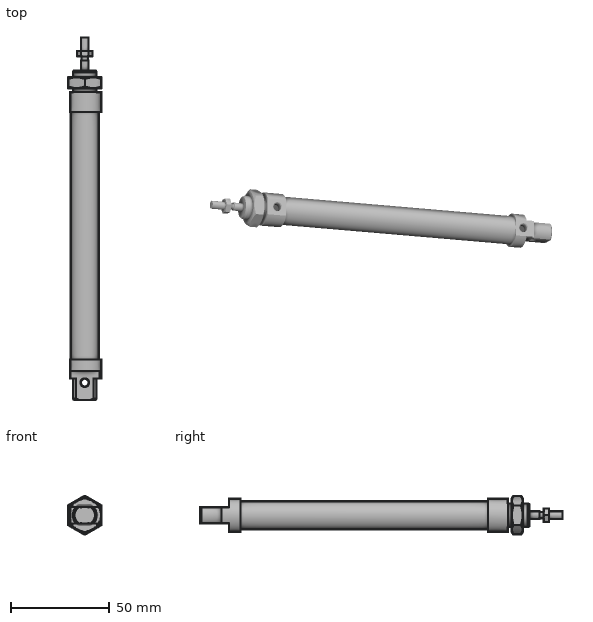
import cadquery as cq
import math

LENGTH = 185.0
REAR_Y = -LENGTH / 2
TIP_Y = LENGTH / 2

CAP_DIA = 17.0
TUBE_DIA = 14.5
NOSE_DIA = 12.0
NOSE_LENGTH = 11.1
NOSE_CHAMFER_LENGTH = 1.1
NOSE_CHAMFER_DEPTH = 0.5
FRONT_CAP_LENGTH = 10.2
REAR_CAP_LENGTH = 9.8
TONGUE_DIA = NOSE_DIA
TONGUE_LENGTH = 11.0
TONGUE_CHAMFER = 0.7

FRONT_CAP_FACE_Y = TIP_Y - 28.0
NOSE_FACE_Y = FRONT_CAP_FACE_Y + NOSE_LENGTH
TUBE_FRONT_Y = FRONT_CAP_FACE_Y - FRONT_CAP_LENGTH
SHOULDER_Y = REAR_Y + TONGUE_LENGTH
TUBE_REAR_Y = SHOULDER_Y + REAR_CAP_LENGTH

TONGUE_THICKNESS = 8.3
TONGUE_FLAT_LENGTH = 14.8
PIVOT_HOLE_DIA = 4.0
PIVOT_HOLE_Y = REAR_Y + 8.9
PORT_FLAT_X = -7.4
PORT_DIA = 4.0
PORT_MOUTH_DIA = 5.0
PORT_DEPTH = 4.0
PORT_CENTRES_Y = (FRONT_CAP_FACE_Y - 5.5, TUBE_REAR_Y - 4.3)

ROD_DIA = 4.0
NECK_DIA = 3.3
NECK_Y = TIP_Y - 9.6
NECK_LENGTH = 2.2

MOUNT_NUT_WIDTH = 17.0
MOUNT_NUT_THICKNESS = 6.0
MOUNT_NUT_FACE_DIA = 16.3
MOUNT_NUT_FRONT_Y = TIP_Y - 20.2
ROD_NUT_WIDTH = 7.0
ROD_NUT_FACE_DIA = 7.5
ROD_NUT_FRONT_Y = TIP_Y - 6.8
ROD_NUT_THICKNESS = ROD_NUT_FRONT_Y - NECK_Y
HEX_CHAMFER_ANGLE = math.radians(30)


def revolve_about_y(outline):
    """Turn an outline of (radius, y) points about the Y axis."""
    return cq.Workplane("XY").polyline(outline).close().revolve(360, (0, 0, 0), (0, 1, 0))


def across_corners(width):
    """Corner-to-corner size of a hexagon of the given width across flats."""
    return width / math.cos(math.pi / 6)


def make_housing_blank():
    cap_r = CAP_DIA / 2
    tube_r = TUBE_DIA / 2
    nose_r = NOSE_DIA / 2
    tongue_r = TONGUE_DIA / 2
    return revolve_about_y([
        (0, REAR_Y),
        (tongue_r - TONGUE_CHAMFER, REAR_Y),
        (tongue_r, REAR_Y + TONGUE_CHAMFER),
        (tongue_r, SHOULDER_Y),
        (cap_r, SHOULDER_Y),
        (cap_r, TUBE_REAR_Y),
        (tube_r, TUBE_REAR_Y),
        (tube_r, TUBE_FRONT_Y),
        (cap_r, TUBE_FRONT_Y),
        (cap_r, FRONT_CAP_FACE_Y),
        (nose_r, FRONT_CAP_FACE_Y),
        (nose_r, NOSE_FACE_Y - NOSE_CHAMFER_LENGTH),
        (nose_r - NOSE_CHAMFER_DEPTH, NOSE_FACE_Y),
        (0, NOSE_FACE_Y),
    ])


def make_tongue_flat_cutter(side):
    """Block that removes the round of the tongue above (side 1) or below (side -1) its flat."""
    height = (CAP_DIA - TONGUE_THICKNESS) / 2
    return (
        cq.Workplane("XY")
        .box(CAP_DIA, TONGUE_FLAT_LENGTH, height)
        .translate((0, REAR_Y + TONGUE_FLAT_LENGTH / 2, side * (TONGUE_THICKNESS + height) / 2))
    )


def make_port_flat_cutter():
    """Block that cuts both caps flat on the port side, just clear of the tube."""
    depth = CAP_DIA / 2 + PORT_FLAT_X
    return cq.Workplane("XY").box(depth, LENGTH, CAP_DIA).translate((PORT_FLAT_X - depth / 2, 0, 0))


def make_port_cutter(y):
    """Blind port hole with a 45 degree countersunk mouth."""
    mouth_depth = (PORT_MOUTH_DIA - PORT_DIA) / 2
    flat = cq.Workplane("YZ", origin=(PORT_FLAT_X, y, 0))
    hole = flat.circle(PORT_DIA / 2).extrude(PORT_DEPTH)
    mouth = flat.circle(PORT_MOUTH_DIA / 2).extrude(mouth_depth, taper=45)
    return hole.union(mouth)


def make_housing():
    pivot_hole = (
        cq.Workplane("XY")
        .center(0, PIVOT_HOLE_Y)
        .circle(PIVOT_HOLE_DIA / 2)
        .extrude(TONGUE_THICKNESS, both=True)
    )
    housing = make_housing_blank().cut(make_port_flat_cutter()).cut(pivot_hole)
    for side in (1, -1):
        housing = housing.cut(make_tongue_flat_cutter(side))
    for y in PORT_CENTRES_Y:
        housing = housing.cut(make_port_cutter(y))
    return housing


def make_rod():
    """Rod that starts at the nose face; the neck steps straight up at both ends."""
    rod_r = ROD_DIA / 2
    return revolve_about_y([
        (0, NOSE_FACE_Y),
        (rod_r, NOSE_FACE_Y),
        (rod_r, NECK_Y - NECK_LENGTH),
        (NECK_DIA / 2, NECK_Y - NECK_LENGTH),
        (NECK_DIA / 2, NECK_Y),
        (rod_r, NECK_Y),
        (rod_r, TIP_Y),
        (0, TIP_Y),
    ])


def make_nut(width, face_dia, bore_dia, front_y, thickness, turn):
    """Hexagonal nut behind front_y, its corners chamfered at both faces.

    A turn of 0 points a corner along X and a turn of 30 points one along Z.
    """
    corner_r = across_corners(width) / 2
    face_r = face_dia / 2
    chamfer_length = (corner_r - face_r) * math.tan(HEX_CHAMFER_ANGLE)
    rear_y = front_y - thickness
    chamfered_disc = revolve_about_y([
        (0, rear_y),
        (face_r, rear_y),
        (corner_r, rear_y + chamfer_length),
        (corner_r, front_y - chamfer_length),
        (face_r, front_y),
        (0, front_y),
    ])
    front_plane = cq.Workplane("XZ", origin=(0, front_y, 0))
    hexagon = front_plane.polygon(6, 2 * corner_r).extrude(thickness)
    bore = front_plane.circle(bore_dia / 2).extrude(thickness)
    return hexagon.rotate((0, 0, 0), (0, 1, 0), turn).intersect(chamfered_disc).cut(bore)


def make_mount_nut():
    """Nut on the threaded nose of the housing."""
    return make_nut(
        MOUNT_NUT_WIDTH,
        MOUNT_NUT_FACE_DIA,
        NOSE_DIA,
        MOUNT_NUT_FRONT_Y,
        MOUNT_NUT_THICKNESS,
        turn=30,
    )


def make_rod_nut():
    """Lock nut on the rod thread, flush with the front of the neck."""
    return make_nut(
        ROD_NUT_WIDTH,
        ROD_NUT_FACE_DIA,
        ROD_DIA,
        ROD_NUT_FRONT_Y,
        ROD_NUT_THICKNESS,
        turn=0,
    )


housing = make_housing()
rod = make_rod()
mount_nut = make_mount_nut()
rod_nut = make_rod_nut()

result = cq.Compound.makeCompound([housing.val(), rod.val(), mount_nut.val(), rod_nut.val()])